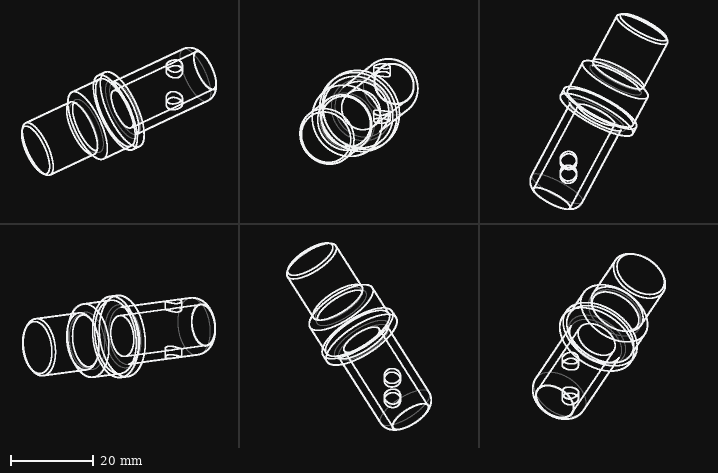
import cadquery as cq
import math

total_length = 48.85
pin_diameter = 14.0

tail_length = 15.0
barrel_length = 8.0
flange_thickness = 2.0
barrel_diameter = 18.0
flange_diameter = 19.95

tail_chamfer = 0.65
nose_length = 2.85
nose_radius = 3.1
flange_fillet = 0.75
groove_depth = 0.65
groove_arc_radius = 0.7

hole_diameter = 4.0
hole_from_nose = 8.85

bore_diameter = 10.0
bore_depth = 23.85

pin_radius = pin_diameter / 2
barrel_radius = barrel_diameter / 2
flange_radius = flange_diameter / 2
groove_radius = pin_radius - groove_depth
tail_end = -total_length / 2
barrel_start = tail_end + tail_length
flange_start = barrel_start + barrel_length
flange_end = flange_start + flange_thickness
nose_end = total_length / 2
nose_start = nose_end - nose_length


def quarter_round_offset(radius):
    """Distance from a tangent side of a quarter round to its middle."""
    return radius * (1 - math.sqrt(0.5))


def nose_profile_radius(distance):
    """Pin radius at a distance beyond the start of the rounded nose."""
    return pin_radius - nose_radius + math.sqrt(nose_radius**2 - distance**2)


def turned_body():
    """Half profile of the pin revolved about Y."""
    slope_end = barrel_start - groove_arc_radius * (1 + math.sqrt(0.5))
    slope_end_radius = groove_radius + quarter_round_offset(groove_arc_radius)
    flange_offset = quarter_round_offset(flange_fillet)
    half_profile = (
        cq.Workplane("XY")
        .moveTo(0, tail_end)
        .lineTo(pin_radius - tail_chamfer, tail_end)
        .lineTo(pin_radius, tail_end + tail_chamfer)
        .lineTo(pin_radius, slope_end - (pin_radius - slope_end_radius))
        .lineTo(slope_end_radius, slope_end)
        .threePointArc(
            (groove_radius, barrel_start - groove_arc_radius),
            (groove_radius + groove_arc_radius, barrel_start),
        )
        .lineTo(barrel_radius, barrel_start)
        .lineTo(barrel_radius, flange_start)
        .lineTo(flange_radius, flange_start)
        .lineTo(flange_radius, flange_end)
        .lineTo(pin_radius + flange_fillet, flange_end)
        .threePointArc(
            (pin_radius + flange_offset, flange_end + flange_offset),
            (pin_radius, flange_end + flange_fillet),
        )
        .lineTo(pin_radius, nose_start)
        .threePointArc(
            (nose_profile_radius(nose_length / 2), nose_start + nose_length / 2),
            (nose_profile_radius(nose_length), nose_end),
        )
        .lineTo(0, nose_end)
        .close()
    )
    return half_profile.revolve(360, (0, 0, 0), (0, 1, 0))


def cross_hole():
    """Cylinder along Z that pierces the shank."""
    return (
        cq.Workplane("XY")
        .center(0, nose_end - hole_from_nose)
        .circle(hole_diameter / 2)
        .extrude(pin_radius, both=True)
    )


def axial_bore():
    """Blind cylinder running from the nose towards -Y."""
    return (
        cq.Workplane("XZ", origin=(0, nose_end, 0))
        .circle(bore_diameter / 2)
        .extrude(bore_depth)
    )


result = turned_body().cut(axial_bore()).cut(cross_hole())